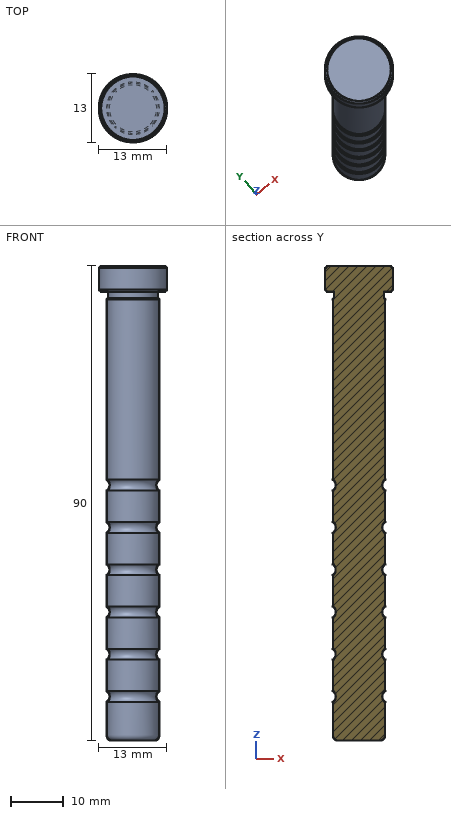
import cadquery as cq

total_length = 90.0
head_diameter = 13.0
head_height = 4.95
head_chamfer = 0.45
shaft_diameter = 10.0

neck_diameter = 9.5
neck_length = 1.2
neck_chamfer = (shaft_diameter - neck_diameter) / 2

tip_radius = 1.0

groove_count = 6
groove_pitch = 8.0
first_groove_height = 8.4
groove_width = 2.1
groove_depth = 0.5

shaft_radius = shaft_diameter / 2
head_bottom = total_length - head_height
shaft_top = head_bottom - neck_length


def make_shaft():
    """Plain shaft with a rounded lower end and a chamfer where it meets the neck."""
    shaft = cq.Workplane("XY").circle(shaft_radius).extrude(shaft_top)
    return shaft.faces("<Z").edges().fillet(tip_radius).faces(">Z").edges().chamfer(neck_chamfer)


def make_neck():
    """Narrow cylinder joining the shaft to the head."""
    return cq.Workplane("XY").workplane(offset=shaft_top).circle(neck_diameter / 2).extrude(neck_length)


def make_head():
    """Larger cylinder chamfered on both rims."""
    head = cq.Workplane("XY").workplane(offset=head_bottom).circle(head_diameter / 2).extrude(head_height)
    return head.edges().chamfer(head_chamfer)


def make_groove_cutter(height):
    """Ring whose inner side is the concave groove arc, centred at the given height."""
    half_width = groove_width / 2
    outer_radius = shaft_radius + groove_depth
    return (
        cq.Workplane("XZ")
        .moveTo(shaft_radius, height - half_width)
        .threePointArc((shaft_radius - groove_depth, height), (shaft_radius, height + half_width))
        .lineTo(outer_radius, height + half_width)
        .lineTo(outer_radius, height - half_width)
        .close()
        .revolve(360, (0, 0, 0), (0, 1, 0))
    )


result = make_shaft().union(make_neck()).union(make_head())
for index in range(groove_count):
    result = result.cut(make_groove_cutter(first_groove_height + index * groove_pitch))